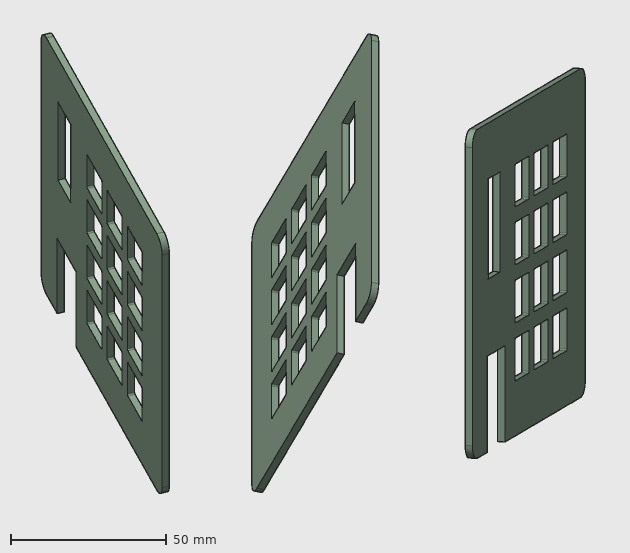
import cadquery as cq

width = 114.0
height = 108.0
thickness = 2.5
corner_radius = 5.0

key_columns = 3
key_rows = 4
key_size = 14.0
key_pitch = 19.0
key_corner_radius = 0.5
key_grid_x = 12.2
key_grid_z = -0.3

window_width = 12.0
window_height = 32.8
window_from_left = 16.0
window_from_top = 18.4

notch_width = 17.5
notch_height = 31.6
notch_from_left = 15.2

left = -width / 2
bottom = -height / 2
top = height / 2


def block(x_size, z_size, x_center, z_center):
    """Rectangular block as thick as the plate."""
    return cq.Workplane("XY").box(x_size, thickness, z_size).translate((x_center, 0, z_center))


def key_opening(column, row):
    """Cutter for one key opening, with slightly rounded corners."""
    x = key_grid_x + (column - (key_columns - 1) / 2) * key_pitch
    z = key_grid_z + (row - (key_rows - 1) / 2) * key_pitch
    return block(key_size, key_size, x, z).edges("|Y").fillet(key_corner_radius)


plate = block(width, height, 0, 0).edges("|Y").fillet(corner_radius)

for column in range(key_columns):
    for row in range(key_rows):
        plate = plate.cut(key_opening(column, row))

window = block(
    window_width,
    window_height,
    left + window_from_left + window_width / 2,
    top - window_from_top - window_height / 2,
)
notch = block(
    notch_width,
    notch_height,
    left + notch_from_left + notch_width / 2,
    bottom + notch_height / 2,
)

result = plate.cut(window).cut(notch)